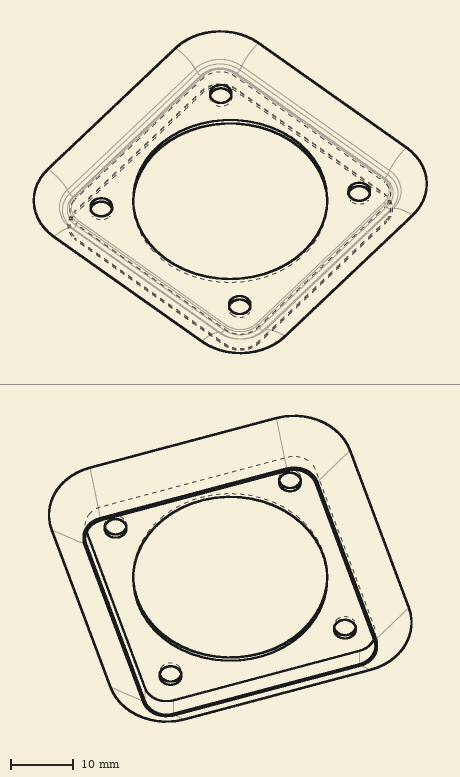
import cadquery as cq
import math

RIM_SIDE = 50.0
HEIGHT = 7.0
RIM_CORNER_RADIUS = 9.4

FOOT_SIDE = 39.0
FOOT_HEIGHT = 0.2

LIP_RADIUS = 5.3
GROOVE_INSET = 4.6
GROOVE_RADIUS = 0.5
PLATE_EDGE_RADIUS = 0.4

PLATE_TOP = 5.0
PLATE_THICKNESS = 1.0
OPENING_DIAMETER = 31.0
SCREW_DIAMETER = 3.5
SCREW_SPACING = 29.2

POCKET_SIDE = 38.4

PLATE_OVERLAP = 2.0

CORNER_AXIS = RIM_SIDE / 2 - RIM_CORNER_RADIUS
SKIRT_FLARE = (RIM_SIDE - FOOT_SIDE) / 2
SLOPE_ANGLE = math.atan2(HEIGHT - FOOT_HEIGHT, SKIRT_FLARE)


def corner_radius(side):
    """Corner radius of a rounded square of this side, concentric with the rim corner."""
    return side / 2 - CORNER_AXIS


def rounded_square_prism(side, height):
    """Prism standing on Z = 0, with corners concentric with the rim corners."""
    return (
        cq.Workplane("XY")
        .rect(side, side)
        .extrude(height)
        .edges("|Z")
        .fillet(corner_radius(side))
    )


def arc_point(centre, radius, angle):
    """Point on a circle, with the angle measured from straight up towards +r."""
    return centre[0] + radius * math.sin(angle), centre[1] + radius * math.cos(angle)


def ring_profile():
    """Closed section outline of the ring, as (distance from the part axis, height)."""
    rim = RIM_SIDE / 2
    foot = FOOT_SIDE / 2
    inner = POCKET_SIDE / 2 - PLATE_OVERLAP
    slope = math.tan(SLOPE_ANGLE)

    lip_centre = (rim, HEIGHT - LIP_RADIUS)
    lip_middle = arc_point(lip_centre, LIP_RADIUS, -SLOPE_ANGLE / 2)
    lip_end = arc_point(lip_centre, LIP_RADIUS, -SLOPE_ANGLE)

    groove_outer_r = rim - GROOVE_INSET
    groove_outer = (groove_outer_r, lip_end[1] - (lip_end[0] - groove_outer_r) * slope)
    half_groove = GROOVE_RADIUS * math.sin(SLOPE_ANGLE)
    groove_depth = GROOVE_RADIUS * (1 - math.cos(SLOPE_ANGLE))
    groove_bottom = (groove_outer_r - half_groove, groove_outer[1] - groove_depth)
    groove_inner = (groove_outer_r - 2 * half_groove, groove_outer[1])

    edge_drop = PLATE_EDGE_RADIUS * (1 - math.cos(SLOPE_ANGLE))
    edge_z = PLATE_TOP - edge_drop
    edge_outer = (groove_inner[0] - (edge_z - groove_inner[1]) / slope, edge_z)
    edge_centre = (
        edge_outer[0] - PLATE_EDGE_RADIUS * math.sin(SLOPE_ANGLE),
        PLATE_TOP - PLATE_EDGE_RADIUS,
    )
    edge_middle = arc_point(edge_centre, PLATE_EDGE_RADIUS, SLOPE_ANGLE / 2)

    return (
        cq.Workplane("XZ")
        .moveTo(inner, 0)
        .lineTo(foot, 0)
        .lineTo(foot, FOOT_HEIGHT)
        .lineTo(rim, HEIGHT)
        .threePointArc(lip_middle, lip_end)
        .lineTo(*groove_outer)
        .threePointArc(groove_bottom, groove_inner)
        .lineTo(*edge_outer)
        .threePointArc(edge_middle, (edge_centre[0], PLATE_TOP))
        .lineTo(inner, PLATE_TOP)
        .close()
    )


def side_bar():
    """Straight +X stretch of the ring, between the two corner axes."""
    return ring_profile().extrude(CORNER_AXIS, both=True)


def corner():
    """Quarter turn of the ring section about the +X +Y corner axis."""
    return (
        ring_profile()
        .revolve(90, (CORNER_AXIS, 0, 0), (CORNER_AXIS, 1, 0))
        .translate((0, CORNER_AXIS, 0))
    )


def ring():
    body = rounded_square_prism(POCKET_SIDE - PLATE_OVERLAP, PLATE_TOP)
    for quarter in range(4):
        for piece in (side_bar(), corner()):
            body = body.union(piece.rotate((0, 0, 0), (0, 0, 1), 90 * quarter))
    return body


def screw_holes():
    return (
        cq.Workplane("XY")
        .rect(SCREW_SPACING, SCREW_SPACING, forConstruction=True)
        .vertices()
        .circle(SCREW_DIAMETER / 2)
        .extrude(HEIGHT)
    )


pocket = rounded_square_prism(POCKET_SIDE, PLATE_TOP - PLATE_THICKNESS)
opening = cq.Workplane("XY").circle(OPENING_DIAMETER / 2).extrude(HEIGHT)

result = ring().cut(pocket).cut(opening).cut(screw_holes())